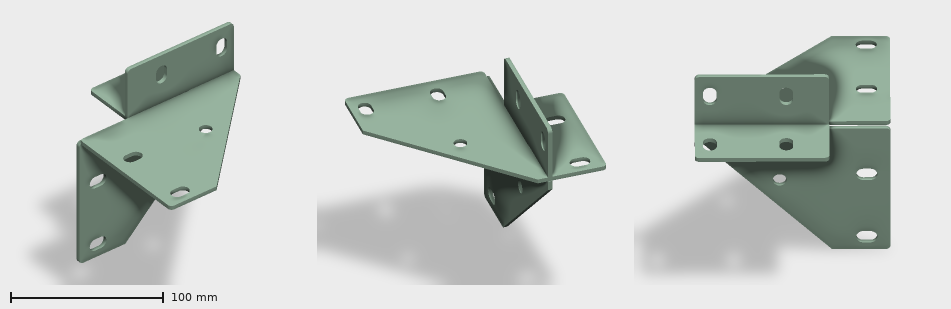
import cadquery as cq


total_width = 138.0
total_depth = 128.0
thickness = 3.0
corner_radius = 3.0
flange_width = 38.0
flange_depth = 88.0
taper = 90.0
joint_clearance = 0.35

horizontal_web_depth = 37.7
vertical_slot_depth = 40.3

slot_length = 13.8
slot_width = 9.0
slot_edge_distance = 15.5
slot_end_distance = 10.0
slot_spacing = 50.0
round_hole_diameter = 9.0
round_hole_from_side = 55.6
round_hole_from_front = 72.5

flange_inner = -thickness / 2
flange_outer = flange_inner - flange_width
gusset_outer = flange_outer + total_width
gusset_inner = thickness / 2 + joint_clearance
flange_front = total_depth - flange_depth


def sheet(profile):
    """Extrude a profile symmetrically about the XY plane."""
    return profile.extrude(thickness / 2, both=True)


def flange():
    blank = sheet(
        cq.Workplane("XY")
        .moveTo(flange_outer, flange_front)
        .lineTo(flange_inner, flange_front)
        .lineTo(flange_inner, total_depth)
        .lineTo(flange_outer, total_depth)
        .close()
    )
    return blank.edges("|Z and <X").fillet(corner_radius)


def gusset():
    blank = sheet(
        cq.Workplane("XY")
        .moveTo(gusset_inner, 0)
        .lineTo(gusset_outer, 0)
        .lineTo(gusset_outer, total_depth - taper)
        .lineTo(gusset_outer - taper, total_depth)
        .lineTo(gusset_inner, total_depth)
        .close()
    )
    return blank.faces("<Y").edges("|Z").fillet(corner_radius)


def web(front, rear):
    """Strip that joins the flange to the gusset through the crossing."""
    return sheet(
        cq.Workplane("XY")
        .moveTo(flange_inner, front)
        .lineTo(gusset_inner, front)
        .lineTo(gusset_inner, rear)
        .lineTo(flange_inner, rear)
        .close()
    )


def mounting_holes():
    """Cutters for two flange slots, two gusset slots and one round hole."""
    pair = [slot_end_distance, slot_end_distance + slot_spacing]
    flange_slots = sheet(
        cq.Workplane("XY")
        .pushPoints([(flange_outer + slot_edge_distance, total_depth - d) for d in pair])
        .slot2D(slot_length, slot_width)
    )
    gusset_slots = sheet(
        cq.Workplane("XY")
        .pushPoints([(gusset_outer - d, slot_edge_distance) for d in pair])
        .slot2D(slot_length, slot_width, 90)
    )
    round_hole = sheet(
        cq.Workplane("XY")
        .moveTo(gusset_outer - round_hole_from_side, round_hole_from_front)
        .circle(round_hole_diameter / 2)
    )
    return flange_slots.add(gusset_slots).add(round_hole)


def plate(web_front, web_rear):
    body = flange().union(web(web_front, web_rear)).union(gusset())
    for cutter in mounting_holes().vals():
        body = body.cut(cq.Workplane(cutter))
    return body.solids()


def horizontal_plate():
    """Level plate joined at the rear, with its joint slot open to the front."""
    return plate(total_depth - horizontal_web_depth, total_depth)


def vertical_plate():
    """Upright plate joined at the flange front, with its joint slot open to the rear."""
    flat = plate(flange_front, total_depth - vertical_slot_depth)
    return flat.rotate((0, 0, 0), (0, 1, 0), 90)


horizontal = horizontal_plate()
vertical = vertical_plate()

result = cq.Compound.makeCompound([horizontal.val(), vertical.val()])